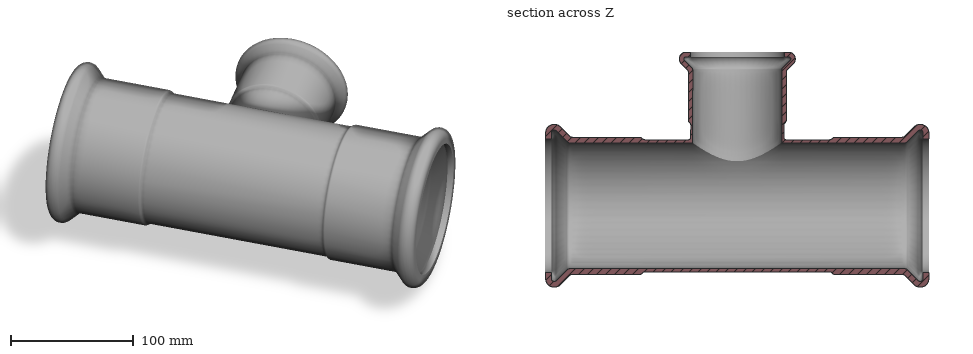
import cadquery as cq
import math

run_length = 312.0
run_tube_radius = 108.0 / 2
run_socket_radius = 112.0 / 2
run_bead_outer_radius = 66.5
run_bead_radius = 7.2
run_bend_radius = 3.0
run_wall = 5.0
run_lip_radius = 54.3
run_socket_length = 77.7

branch_reach = 125.0
branch_tube_radius = 76.0 / 2
branch_socket_radius = 80.2 / 2
branch_bead_outer_radius = 47.5
branch_bead_radius = 5.5
branch_bend_radius = 2.2
branch_wall = 4.0
branch_lip_radius = 38.0
branch_socket_length = 56.5

step_bend_radius = 2.2
junction_fillet = 1.5
mouth_overrun = 3.0


CYLINDER = cq.Vector(1, 0)
CONE = cq.Vector(1, -1).normalized()
turn_angle = math.radians(45)


def add_bend(profile, corner, incoming, outgoing, radius):
    """Draw a line up to a 45 degree corner and round that corner."""
    corner = cq.Vector(*corner)
    tangent_length = radius * math.tan(turn_angle / 2)
    arc_to_corner = radius / math.cos(turn_angle / 2) - radius
    start = corner - incoming * tangent_length
    middle = corner + (outgoing - incoming).normalized() * arc_to_corner
    end = corner + outgoing * tangent_length
    return profile.lineTo(start.x, start.y).threePointArc(middle, end)


def flared_profile(bead_x, bead_r, bead_radius, neck_radius, bend_radius):
    """Open outline, in (axial, radial) coordinates with the mouth near 0.

    A bead arc leads into a 45 degree cone, which bends onto a cylinder.
    """
    diagonal = math.sqrt(0.5)
    cone_x = bead_x + bead_radius * diagonal
    cone_r = bead_r + bead_radius * diagonal
    corner = (cone_x + cone_r - neck_radius, neck_radius)
    profile = (
        cq.Workplane("XY")
        .moveTo(bead_x - bead_radius, 0)
        .lineTo(bead_x - bead_radius, bead_r)
        .threePointArc((bead_x, bead_r + bead_radius), (cone_x, cone_r))
    )
    return add_bend(profile, corner, CONE, CYLINDER, bend_radius)


def revolve_about_x(profile):
    return profile.close().revolve(360, (0, 0, 0), (1, 0, 0))


def pipe_end(length, tube_radius, socket_radius, bead_outer_radius, bead_radius,
             bend_radius, wall, lip_radius, socket_length):
    """Outer body and cavity of a pipe running +X from its mouth at X = 0."""
    bead_r = bead_outer_radius - bead_radius
    profile = flared_profile(bead_radius, bead_r, bead_radius, socket_radius, bend_radius)
    step_start = (socket_length, socket_radius)
    step_end = (socket_length + socket_radius - tube_radius, tube_radius)
    profile = add_bend(profile, step_start, CYLINDER, CONE, step_bend_radius)
    profile = add_bend(profile, step_end, CONE, CYLINDER, step_bend_radius)
    body = revolve_about_x(profile.lineTo(length, tube_radius).lineTo(length, 0))
    bore_radius = socket_radius - wall
    cavity = revolve_about_x(
        flared_profile(bead_radius, bead_r, bead_radius - wall, bore_radius, bend_radius)
        .lineTo(length, bore_radius)
        .lineTo(length, 0)
    )
    lip_opening = (
        cq.Workplane("YZ", origin=(-mouth_overrun, 0, 0))
        .circle(lip_radius)
        .extrude(mouth_overrun + wall)
    )
    return body, cavity.union(lip_opening)


run_body, run_cavity = pipe_end(
    run_length / 2, run_tube_radius, run_socket_radius, run_bead_outer_radius,
    run_bead_radius, run_bend_radius, run_wall, run_lip_radius, run_socket_length,
)
branch_body, branch_cavity = pipe_end(
    branch_reach, branch_tube_radius, branch_socket_radius, branch_bead_outer_radius,
    branch_bead_radius, branch_bend_radius, branch_wall, branch_lip_radius,
    branch_socket_length,
)


def both_run_ends(half):
    left = half.translate((-run_length / 2, 0, 0))
    return left.union(left.mirror("YZ"))


def place_branch(pipe):
    """Turn a pipe so that its mouth faces +Y."""
    return pipe.rotate((0, 0, 0), (0, 0, 1), -90).translate((0, branch_reach, 0))


body = both_run_ends(run_body).union(place_branch(branch_body))
zone_half_width = branch_tube_radius + junction_fillet
junction_zone = cq.selectors.BoxSelector(
    (-zone_half_width, 0, -zone_half_width),
    (zone_half_width, run_tube_radius + junction_fillet, zone_half_width),
    boundingbox=True,
)
body = body.edges(junction_zone).fillet(junction_fillet)
result = body.cut(both_run_ends(run_cavity)).cut(place_branch(branch_cavity))